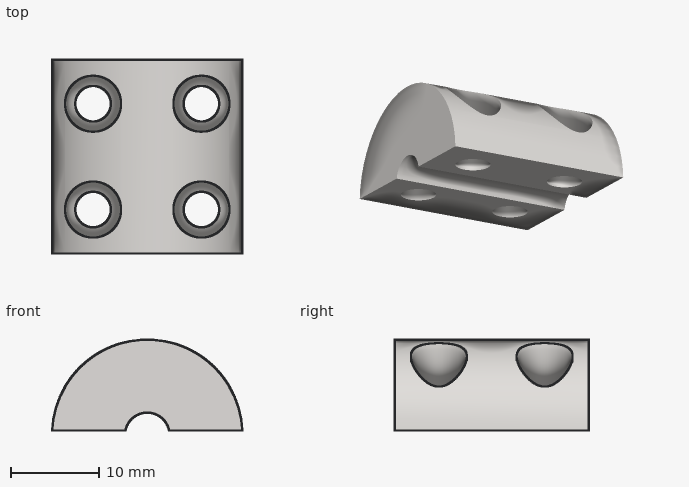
import cadquery as cq

length = 22.0
outer_radius = 10.8
bore_radius = 2.5
axis_drop = 0.48
hole_spacing_x = 12.28
hole_spacing_y = 12.0
hole_diameter = 4.0
counterbore_diameter = 6.35
seat_height = 2.0

crown_height = outer_radius - axis_drop


def lengthwise_cylinder(radius):
    """Cylinder along Y, centred on the part's length, on the dropped axis."""
    return (
        cq.Workplane("XZ")
        .center(0, -axis_drop)
        .circle(radius)
        .extrude(length / 2, both=True)
    )


def vertical_cylinders(diameter, bottom, top):
    """Four upright cylinders at the screw positions."""
    return (
        cq.Workplane("XY")
        .workplane(offset=bottom)
        .rarray(hole_spacing_x, hole_spacing_y, 2, 2)
        .circle(diameter / 2)
        .extrude(top - bottom)
    )


above_base = cq.Workplane("XY").box(
    2 * outer_radius, length, crown_height, centered=(True, True, False)
)
clamp_half = lengthwise_cylinder(outer_radius).intersect(above_base)
clamp_half = clamp_half.cut(lengthwise_cylinder(bore_radius))

screw_holes = vertical_cylinders(hole_diameter, 0, crown_height)
head_seats = vertical_cylinders(counterbore_diameter, seat_height, crown_height)

result = clamp_half.cut(screw_holes).cut(head_seats)